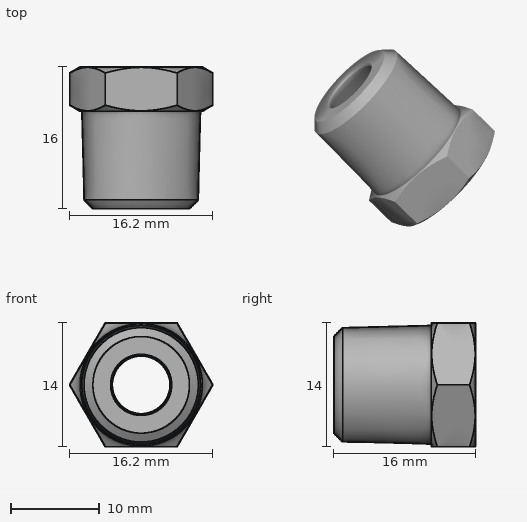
import cadquery as cq
import math

across_flats = 14.0
hex_sides = 6
across_corners = across_flats / math.cos(math.pi / hex_sides)
head_length = 5.0
head_chamfer_angle = 30.0
head_chamfer_diameter = 13.8

overall_length = 16.0
shank_base_diameter = 13.41
shank_end_diameter = 12.9
end_chamfer = 1.0

bore_diameter = 6.5
bore_chamfer = 0.2

shoulder_y = overall_length - head_length


def revolve_about_y(outline):
    """Turn a closed (y, radius) outline one full revolution about the Y axis."""
    profile = cq.Workplane("YZ").polyline(outline).close()
    return profile.revolve(360, (0, 0, 0), (1, 0, 0))


def make_head():
    """Hexagonal prism with flats on +Z and -Z, its corners chamfered at both ends."""
    prism = (
        cq.Workplane("XZ", origin=(0, overall_length, 0))
        .polygon(hex_sides, across_corners)
        .extrude(head_length)
    )
    face_radius = head_chamfer_diameter / 2
    corner_radius = across_corners / 2
    chamfer_depth = (corner_radius - face_radius) * math.tan(math.radians(head_chamfer_angle))
    envelope = revolve_about_y([
        (shoulder_y, 0),
        (shoulder_y, face_radius),
        (shoulder_y + chamfer_depth, corner_radius),
        (overall_length - chamfer_depth, corner_radius),
        (overall_length, face_radius),
        (overall_length, 0),
    ])
    return prism.intersect(envelope)


def make_shank():
    """Conical shank that narrows towards a chamfered end face."""
    end_radius = shank_end_diameter / 2
    return revolve_about_y([
        (0, 0),
        (0, end_radius - end_chamfer),
        (end_chamfer, end_radius),
        (shoulder_y, shank_base_diameter / 2),
        (shoulder_y, 0),
    ])


def make_bore():
    """Through bore with a small chamfer at the tapered end."""
    bore_radius = bore_diameter / 2
    return revolve_about_y([
        (0, 0),
        (0, bore_radius + bore_chamfer),
        (bore_chamfer, bore_radius),
        (overall_length, bore_radius),
        (overall_length, 0),
    ])


result = make_head().union(make_shank()).cut(make_bore())